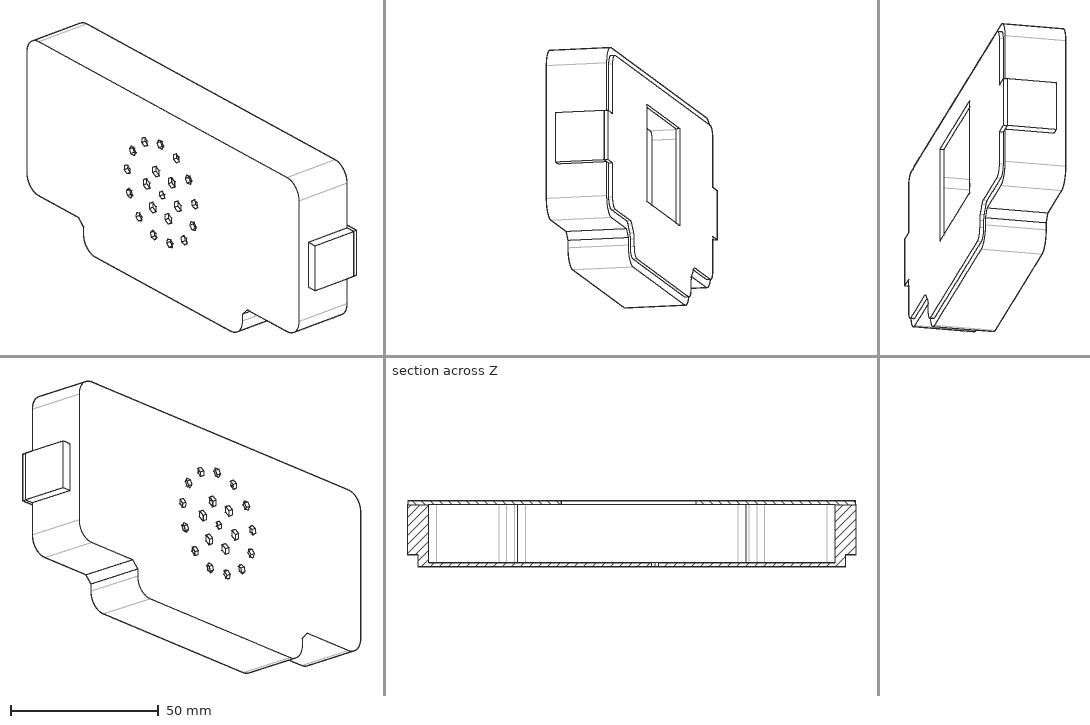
import cadquery as cq
import math

overall_length = 152.1
overall_depth = 22.5
overall_height = 70.1

body_length = 145.0
body_height = 58.5
foot_length = 84.7
corner_radius = 6.4
corner_fill = 2.6

front_wall = 1.5
side_wall = 3.7

lug_size = 17.0
lug_top_drop = 23.4

lid_thickness = 1.4
lid_inset = 2.7
arm_clearance = 0.2

window_length = 45.6
window_height = 33.5
window_bottom_drop = 45.0

outer_ring_x = -1.0
outer_ring_drop = 32.0
outer_ring_radius = 18.1
outer_ring_start = 91.2
outer_hole_count = 13
outer_hole_size = 3.3
inner_ring_x = -0.5
inner_ring_drop = 32.7
inner_ring_radius = 8.4
inner_ring_start = 53.0
inner_hole_count = 6
inner_hole_size = 4.0
centre_hole_size = 2.9
hex_sides = 6
upright_hex_angle = 90.0

front_y = -overall_depth / 2
back_y = overall_depth / 2
seam_y = back_y - lid_thickness
housing_depth = seam_y - front_y
top_z = overall_height / 2
bottom_z = -top_z
shoulder_z = top_z - body_height
lug_z = top_z - lug_top_drop - lug_size / 2
outer_ring_z = top_z - outer_ring_drop
inner_ring_z = top_z - inner_ring_drop
window_z = top_z - window_bottom_drop + window_height / 2


def block(length, height, depth, center_x, center_z, start_y):
    """Box reaching back from start_y, centred at the given X and Z."""
    box = cq.Workplane("XY").box(length, depth, height)
    return box.translate((center_x, start_y + depth / 2, center_z))


def body_prism(start_y, depth, inset):
    """Body-and-foot prism, its outline offset inward by the inset."""
    side = body_length / 2
    foot_side = foot_length / 2
    r = corner_radius
    outline = (
        cq.Workplane("XZ", origin=(0, start_y, 0))
        .moveTo(-side + r, top_z)
        .lineTo(side - r, top_z)
        .radiusArc((side, top_z - r), r)
        .lineTo(side, shoulder_z + r)
        .radiusArc((side - r, shoulder_z), r)
        .lineTo(foot_side + corner_fill, shoulder_z)
        .lineTo(foot_side, shoulder_z - corner_fill)
        .lineTo(foot_side, bottom_z + r)
        .radiusArc((foot_side - r, bottom_z), r)
        .lineTo(-foot_side + r, bottom_z)
        .radiusArc((-foot_side, bottom_z + r), r)
        .lineTo(-foot_side, shoulder_z - corner_fill)
        .lineTo(-foot_side - corner_fill, shoulder_z)
        .lineTo(-side + r, shoulder_z)
        .radiusArc((-side, shoulder_z + r), r)
        .lineTo(-side, top_z - r)
        .radiusArc((-side + r, top_z), r)
        .close()
    )
    if inset > 0:
        outline = outline.offset2D(-inset)
    return outline.extrude(-depth)


def polar_point(center_x, center_z, radius, angle):
    """Point in the XZ plane at an angle in degrees from +X."""
    turn = math.radians(angle)
    return (center_x + radius * math.cos(turn), center_z + radius * math.sin(turn))


def hex_hole(center, size, corner_angle):
    """Hexagonal cutter through the front wall with one corner at corner_angle."""
    corners = [
        polar_point(*center, size / 2, corner_angle + i * 360 / hex_sides)
        for i in range(hex_sides)
    ]
    plane = cq.Workplane("XZ", origin=(0, front_y, 0))
    return plane.polyline(corners).close().extrude(-front_wall)


def grille_holes():
    """Cutters for the whole grille."""
    holes = [hex_hole((inner_ring_x, inner_ring_z), centre_hole_size, upright_hex_angle)]
    for i in range(inner_hole_count):
        angle = inner_ring_start + i * 360 / inner_hole_count
        center = polar_point(inner_ring_x, inner_ring_z, inner_ring_radius, angle)
        holes.append(hex_hole(center, inner_hole_size, upright_hex_angle))
    for i in range(outer_hole_count):
        angle = outer_ring_start + i * 360 / outer_hole_count
        center = polar_point(outer_ring_x, outer_ring_z, outer_ring_radius, angle)
        holes.append(hex_hole(center, outer_hole_size, angle + 180 / hex_sides))
    return holes


def make_housing():
    """Tray open at the back, with end lugs and the grille in its front wall."""
    housing = body_prism(front_y, housing_depth, 0)
    lug_bar = block(overall_length, lug_size, lug_size, 0, lug_z, seam_y - lug_size)
    cavity = body_prism(front_y + front_wall, housing_depth - front_wall, side_wall)
    housing = housing.union(lug_bar).cut(cavity)
    for hole in grille_holes():
        housing = housing.cut(hole)
    return housing


def make_lid():
    """Flat plate resting on the housing rim and lugs, with a window."""
    plate = body_prism(seam_y, lid_thickness, lid_inset)
    arm_span = overall_length - 2 * arm_clearance
    arms = block(arm_span, lug_size, lid_thickness, 0, lug_z, seam_y)
    window = block(window_length, window_height, lid_thickness, outer_ring_x, window_z, seam_y)
    return plate.union(arms).cut(window)


housing = make_housing()
lid = make_lid()
result = cq.Compound.makeCompound([housing.solids().val(), lid.solids().val()])